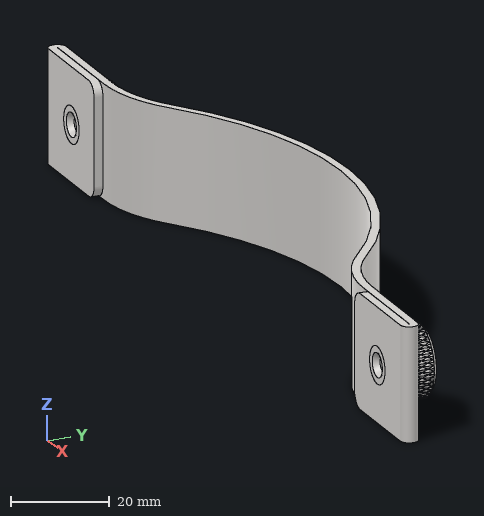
import cadquery as cq
import math

LENGTH = 188.0
DEPTH = 27.6
WIDTH = 25.0

FOLD_THICKNESS = 4.0
FOLD_GAP = 0.04
STRIP_THICKNESS = (FOLD_THICKNESS - FOLD_GAP) / 2
FOLD_RADIUS = FOLD_THICKNESS / 2
FOLD_CENTER_X = LENGTH / 2 - FOLD_RADIUS
FLAP_END_X = 68.2
FLAP_CORNER_RADIUS = 2.8

BEND_START_X = 67.9
CROWN_RADIUS = 80.8
RISE = DEPTH - FOLD_THICKNESS
ARC_CENTER_DISTANCE = (BEND_START_X**2 + RISE**2) / (2 * RISE)
FOOT_RADIUS = ARC_CENTER_DISTANCE - CROWN_RADIUS
BEND_ANGLE = math.asin(BEND_START_X / ARC_CENTER_DISTANCE)

FLAP_BACK_Y = STRIP_THICKNESS
STRIP_FRONT_Y = STRIP_THICKNESS + FOLD_GAP
STRIP_BACK_Y = FOLD_THICKNESS
CROWN_CENTER_Y = DEPTH - CROWN_RADIUS
FOOT_CENTER_Y = STRIP_BACK_Y + FOOT_RADIUS

SCREW_X = 80.0
SHANK_DIAMETER = 8.0
HEAD_DIAMETER = 16.2
HEAD_HEIGHT = 6.2
HEAD_CHAMFER = 1.0
SOCKET_MOUTH_DIAMETER = 5.3
SOCKET_FLOOR_DIAMETER = 3.4
SOCKET_DEPTH = 1.3

KNURL_COLUMNS = 80
KNURL_ROWS = 4
KNURL_DEPTH = 0.2
KNURL_HEIGHT = HEAD_HEIGHT - HEAD_CHAMFER
KNURL_ROOT_RADIUS = HEAD_DIAMETER / 2 - KNURL_DEPTH


def crown_point(angle, inset):
    """Point on the crown arc, at an angle from the Y axis, inset from the back face."""
    radius = CROWN_RADIUS - inset
    return (radius * math.sin(angle), CROWN_CENTER_Y + radius * math.cos(angle))


def foot_middle(side, inset):
    """Middle of the foot arc on one side (-1 or 1), inset from the back face."""
    radius = FOOT_RADIUS + inset
    half_angle = BEND_ANGLE / 2
    return (
        side * (BEND_START_X - radius * math.sin(half_angle)),
        FOOT_CENTER_Y - radius * math.cos(half_angle),
    )


def make_bent_strip():
    """The strip between the two folds, with its crown and foot arcs."""
    t = STRIP_THICKNESS
    outline = (
        cq.Workplane("XY")
        .moveTo(-FOLD_CENTER_X, STRIP_BACK_Y)
        .lineTo(-BEND_START_X, STRIP_BACK_Y)
        .threePointArc(foot_middle(-1, 0), crown_point(-BEND_ANGLE, 0))
        .threePointArc(crown_point(0, 0), crown_point(BEND_ANGLE, 0))
        .threePointArc(foot_middle(1, 0), (BEND_START_X, STRIP_BACK_Y))
        .lineTo(FOLD_CENTER_X, STRIP_BACK_Y)
        .lineTo(FOLD_CENTER_X, STRIP_FRONT_Y)
        .lineTo(BEND_START_X, STRIP_FRONT_Y)
        .threePointArc(foot_middle(1, t), crown_point(BEND_ANGLE, t))
        .threePointArc(crown_point(0, t), crown_point(-BEND_ANGLE, t))
        .threePointArc(foot_middle(-1, t), (-BEND_START_X, STRIP_FRONT_Y))
        .lineTo(-FOLD_CENTER_X, STRIP_FRONT_Y)
        .close()
    )
    return outline.extrude(WIDTH / 2, both=True)


def make_folded_flap(side):
    """The half-round fold at one end and the flap lying in front of the strip."""
    fold_x = side * FOLD_CENTER_X
    flap_x = side * FLAP_END_X
    flap = (
        cq.Workplane("XY")
        .moveTo(fold_x, STRIP_BACK_Y)
        .threePointArc((side * LENGTH / 2, FOLD_RADIUS), (fold_x, 0))
        .lineTo(flap_x, 0)
        .lineTo(flap_x, FLAP_BACK_Y)
        .lineTo(fold_x, FLAP_BACK_Y)
        .threePointArc((fold_x + side * FOLD_GAP / 2, FOLD_RADIUS), (fold_x, STRIP_FRONT_Y))
        .close()
        .extrude(WIDTH / 2, both=True)
    )
    free_end = "<X" if side > 0 else ">X"
    return flap.faces(free_end).edges("|Y").fillet(FLAP_CORNER_RADIUS)


def cylinder_along_y(x, start_y, diameter, length):
    """Cylinder from start_y towards +Y."""
    plane = cq.Plane(origin=(x, start_y, 0), xDir=(1, 0, 0), normal=(0, 1, 0))
    return cq.Workplane(plane).circle(diameter / 2).extrude(length)


def make_strap():
    strap = make_bent_strip()
    for side in (-1, 1):
        strap = strap.union(make_folded_flap(side))
    for side in (-1, 1):
        strap = strap.cut(cylinder_along_y(side * SCREW_X, 0, SHANK_DIAMETER, FOLD_THICKNESS))
    return strap


def knurl_point(column, row):
    """Corner of the knurl grid: crests and groove corners alternate like a checkerboard."""
    is_crest = (column + row) % 2 == 1
    radius = HEAD_DIAMETER / 2 if is_crest else KNURL_ROOT_RADIUS
    angle = 2 * math.pi * (column % KNURL_COLUMNS) / KNURL_COLUMNS
    height = KNURL_HEIGHT * row / KNURL_ROWS
    return cq.Vector(radius * math.cos(angle), radius * math.sin(angle), height)


def flat_face(points):
    return cq.Face.makeFromWires(cq.Wire.makePolygon(points, close=True))


def make_knurl_cell(column, row):
    """Two triangles of one grid cell, meeting along its groove."""
    corners = [
        knurl_point(column, row),
        knurl_point(column + 1, row),
        knurl_point(column + 1, row + 1),
        knurl_point(column, row + 1),
    ]
    if (column + row) % 2 == 1:
        corners = corners[1:] + corners[:1]
    first, second, third, fourth = corners
    return [flat_face([first, second, third]), flat_face([first, third, fourth])]


def make_knurled_band():
    """Ring of diamond pyramids closed by a flat face at each end, standing on Z = 0."""
    faces = []
    for row in (0, KNURL_ROWS):
        faces.append(flat_face([knurl_point(column, row) for column in range(KNURL_COLUMNS)]))
    for row in range(KNURL_ROWS):
        for column in range(KNURL_COLUMNS):
            faces.extend(make_knurl_cell(column, row))
    return cq.Workplane(obj=cq.Solid.makeSolid(cq.Shell.makeShell(faces)))


def make_head():
    """Knurled band topped by a plain conical chamfer."""
    top = cq.Solid.makeCone(
        KNURL_ROOT_RADIUS,
        KNURL_ROOT_RADIUS - HEAD_CHAMFER,
        HEAD_CHAMFER,
        pnt=cq.Vector(0, 0, KNURL_HEIGHT),
    )
    return make_knurled_band().union(cq.Workplane(obj=top))


def make_screw(head, x):
    """Knurled head behind the strap; the shank ends flush with the flap in a conical socket."""
    screw = head.rotate((0, 0, 0), (1, 0, 0), -90).translate((x, STRIP_BACK_Y, 0))
    screw = screw.union(cylinder_along_y(x, 0, SHANK_DIAMETER, FOLD_THICKNESS))
    socket = cq.Solid.makeCone(
        SOCKET_MOUTH_DIAMETER / 2,
        SOCKET_FLOOR_DIAMETER / 2,
        SOCKET_DEPTH,
        pnt=cq.Vector(x, 0, 0),
        dir=cq.Vector(0, 1, 0),
    )
    return screw.cut(cq.Workplane(obj=socket))


strap = make_strap()
knurled_head = make_head()
screws = [make_screw(knurled_head, side * SCREW_X) for side in (-1, 1)]

result = cq.Compound.makeCompound([strap.val(), *[screw.val() for screw in screws]])